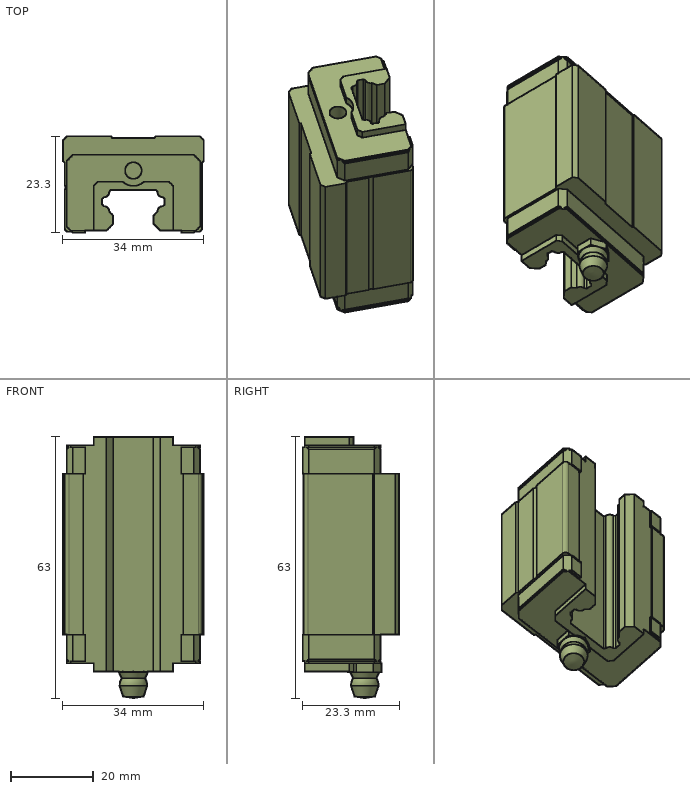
import cadquery as cq
import math


block_length = 38.8
block_half_width = 17.0
mount_chamfer = 1.0
relief_half_width = 5.1
relief_depth = 0.4
relief_flank = 0.25
skirt_half_width = 16.6
side_face_bottom = -6.0
skirt_top = side_face_bottom - (block_half_width - skirt_half_width)
block_bottom = -23.1
skirt_fillet = 1.0
foot_inner_half_width = 12.05
underside = -22.8

mark_y = -12.4
mark_width = 1.2
mark_depth = 0.2

cap_half_width = 16.1
cap_top = -4.5
cap_chamfer = 1.5
pad_bottom = -23.3
pad_inner_half_width = 11.6
cap_body_length = 6.4
plate_thickness = 0.5
cap_length = cap_body_length + plate_thickness
cap_edge_chamfer = 0.5

seal_half_width = 9.6
seal_top = -11.0
seal_chamfer = 1.0
seal_length = 2.0

channel_top = -13.0
channel_top_half_width = 5.45
race_y = -15.8
pocket_half_width = 7.5
pocket_half_height = 0.7
ball_x = 7.1
ball_offset = 2.35
ball_radius = 1.3
jaw_half_width = 4.85
jaw_upper_y = -19.15
jaw_lower_y = -21.15
jaw_mouth_half_width = jaw_half_width + (jaw_lower_y - underside)

nipple_y = -8.3
nipple_hole_radius = 2.0
seal_relief_radius = 3.7
hex_across_flats = 7.0
hex_across_corners = hex_across_flats / math.cos(math.pi / 6)
hex_height = 2.2
neck_base_radius = hex_across_flats / 2
neck_radius = 2.85
neck_length = 1.4
head_radius = 3.35
head_round_length = 1.85
tip_radius = 2.5
tip_height = 0.4
overall_length = 63.01

block_end = block_length / 2
plate_outer = block_end + cap_length
seal_outer = plate_outer + seal_length
tip_z = seal_outer - overall_length


def prism(outline, z_start, z_end):
    """Extrude a closed list of XY points from z_start to z_end."""
    return cq.Workplane("XY", origin=(0, 0, z_start)).polyline(outline).close().extrude(z_end - z_start)


def mirrored(half):
    """Complete an outline given on the +X side by mirroring it to -X."""
    return half + [(-x, y) for x, y in reversed(half)]


def make_block():
    outline = mirrored([
        (relief_half_width, -relief_depth),
        (relief_half_width + relief_flank, 0),
        (block_half_width - mount_chamfer, 0),
        (block_half_width, -mount_chamfer),
        (block_half_width, side_face_bottom),
        (skirt_half_width, skirt_top),
        (skirt_half_width, block_bottom),
        (foot_inner_half_width, block_bottom),
        (foot_inner_half_width, underside),
    ])
    block = prism(outline, -block_end, block_end)
    for side in (-1, 1):
        corner = cq.selectors.NearestToPointSelector((side * skirt_half_width, block_bottom, 0))
        block = block.edges(corner).fillet(skirt_fillet)

    mark_radius = (mark_width**2 / 4 + mark_depth**2) / (2 * mark_depth)
    mark_x = -skirt_half_width + mark_depth - mark_radius
    mark = (
        cq.Workplane("XY", origin=(mark_x, mark_y, -block_end))
        .circle(mark_radius)
        .extrude(block_length)
    )
    return block.cut(mark)


def make_upper_cap():
    """Cap body, foot pads and end plate at the +Z end of the block."""
    cap_outline = mirrored([
        (cap_half_width - cap_chamfer, cap_top),
        (cap_half_width, cap_top - cap_chamfer),
        (cap_half_width, pad_bottom + cap_chamfer),
        (cap_half_width - cap_chamfer, pad_bottom),
        (pad_inner_half_width, pad_bottom),
        (pad_inner_half_width, underside),
    ])
    plate_start = block_end + cap_body_length
    body = prism(cap_outline, block_end, plate_start)
    for point in (
        (cap_half_width, race_y, plate_start),
        (-cap_half_width, race_y, plate_start),
        (0, cap_top, plate_start),
    ):
        body = body.edges(cq.selectors.NearestToPointSelector(point)).chamfer(cap_edge_chamfer)

    plate_bottom_half_width = cap_half_width - cap_chamfer + (underside - pad_bottom)
    plate_outline = mirrored([
        (cap_half_width - cap_chamfer, cap_top),
        (cap_half_width, cap_top - cap_chamfer),
        (cap_half_width, pad_bottom + cap_chamfer),
        (plate_bottom_half_width, underside),
    ])
    plate = prism(plate_outline, plate_start, plate_outer)
    hole = (
        cq.Workplane("XY", origin=(0, nipple_y, block_end))
        .circle(nipple_hole_radius)
        .extrude(cap_length)
    )
    return body.union(plate).cut(hole)


def make_upper_seal():
    outline = mirrored([
        (seal_half_width - seal_chamfer, seal_top),
        (seal_half_width, seal_top - seal_chamfer),
        (seal_half_width, underside),
    ])
    seal = prism(outline, plate_outer, seal_outer)
    relief = (
        cq.Workplane("XY", origin=(0, nipple_y, plate_outer))
        .circle(seal_relief_radius)
        .extrude(seal_length)
    )
    return seal.cut(relief)


def make_channel():
    """Cutter for the rail channel, running the full length of the carriage."""

    def ball_point(side, level, angle):
        """Point on a ball row, with 0 degrees facing the middle plane and 90 facing the pocket."""
        x = ball_x - ball_radius * math.cos(math.radians(angle))
        y = ball_offset - ball_radius * math.sin(math.radians(angle))
        return (side * x, race_y + level * y)

    def flank(sketch, side, first, second):
        """Trace one flank, from ball row first to ball row second (1 is upper, -1 is lower)."""
        return (
            sketch.lineTo(*ball_point(side, first, 0))
            .threePointArc(ball_point(side, first, 45), ball_point(side, first, 90))
            .lineTo(side * pocket_half_width, race_y + first * pocket_half_height)
            .lineTo(side * pocket_half_width, race_y + second * pocket_half_height)
            .lineTo(*ball_point(side, second, 90))
            .threePointArc(ball_point(side, second, 45), ball_point(side, second, 0))
        )

    below = pad_bottom
    sketch = cq.Workplane("XY", origin=(0, 0, -seal_outer)).moveTo(-channel_top_half_width, channel_top)
    sketch = sketch.lineTo(channel_top_half_width, channel_top)
    sketch = flank(sketch, 1, 1, -1)
    sketch = (
        sketch.lineTo(jaw_half_width, jaw_upper_y)
        .lineTo(jaw_half_width, jaw_lower_y)
        .lineTo(jaw_mouth_half_width, underside)
        .lineTo(jaw_mouth_half_width, below)
        .lineTo(-jaw_mouth_half_width, below)
        .lineTo(-jaw_mouth_half_width, underside)
        .lineTo(-jaw_half_width, jaw_lower_y)
        .lineTo(-jaw_half_width, jaw_upper_y)
    )
    sketch = flank(sketch, -1, -1, 1)
    return sketch.close().extrude(2 * seal_outer)


def make_nipple():
    """Hexagon, neck and head pointing to -Z, with a shank filling the lower cap hole."""
    hexagon = (
        cq.Workplane("XY", origin=(0, nipple_y, -plate_outer))
        .transformed(rotate=(0, 0, 90))
        .polygon(6, hex_across_corners)
        .extrude(-hex_height)
    )
    shank = (
        cq.Workplane("XY", origin=(0, nipple_y, -plate_outer))
        .circle(nipple_hole_radius)
        .extrude(cap_length)
    )
    neck_start = -plate_outer - hex_height
    neck_end = neck_start - neck_length
    head_center = neck_end - math.sqrt(head_radius**2 - neck_radius**2)
    rim_z = neck_end - head_round_length
    rim_radius = math.sqrt(head_radius**2 - (head_center - rim_z) ** 2)
    head = (
        cq.Workplane("XZ", origin=(0, nipple_y, 0))
        .moveTo(0, neck_start)
        .lineTo(neck_base_radius, neck_start)
        .lineTo(neck_radius, neck_end)
        .threePointArc((head_radius, head_center), (rim_radius, rim_z))
        .lineTo(tip_radius, tip_z + tip_height)
        .lineTo(0, tip_z)
        .close()
        .revolve(360, (0, 0, 0), (0, 1, 0))
    )
    return hexagon.union(shank).union(head)


nipple = make_nipple()

carriage = make_block()
for end_part in (make_upper_cap(), make_upper_seal()):
    carriage = carriage.union(end_part).union(end_part.mirror("XY"))
carriage = carriage.cut(make_channel()).cut(nipple)

result = cq.Compound.makeCompound([carriage.solids().val(), nipple.solids().val()])